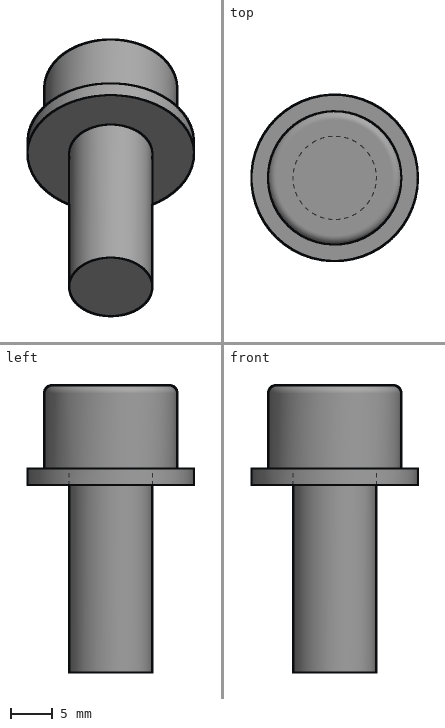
import cadquery as cq

total_height = 34.5
head_diameter = 16.0
head_height = 10.0
head_edge_radius = 1.0
shank_diameter = 10.0
washer_diameter = 20.0
washer_thickness = 2.0

head_base_z = total_height - head_height
washer_base_z = head_base_z - washer_thickness


def make_bolt():
    """Plain shank carrying a cylindrical head with a rounded top edge."""
    shank = cq.Workplane("XY").circle(shank_diameter / 2).extrude(head_base_z)
    head = (
        cq.Workplane("XY")
        .workplane(offset=head_base_z)
        .circle(head_diameter / 2)
        .extrude(head_height)
        .faces(">Z")
        .edges()
        .fillet(head_edge_radius)
    )
    return shank.union(head)


def make_washer():
    """Flat ring that fits closely around the shank under the head."""
    return (
        cq.Workplane("XY")
        .workplane(offset=washer_base_z)
        .circle(washer_diameter / 2)
        .circle(shank_diameter / 2)
        .extrude(washer_thickness)
    )


bolt = make_bolt()
washer = make_washer()

result = cq.Compound.makeCompound([bolt.val(), washer.val()])